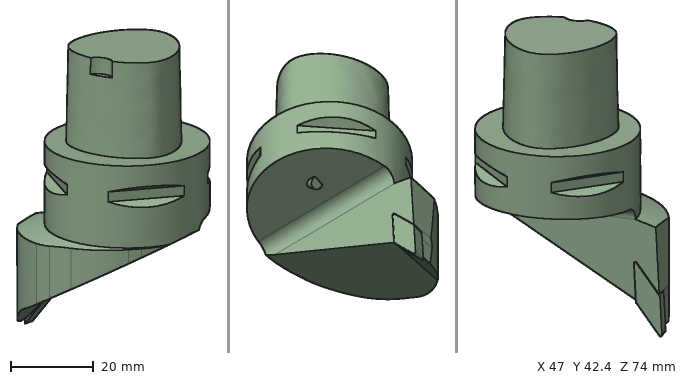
import cadquery as cq
import math


shank_height = 24.05
shank_base_radius = 14.0
shank_top_radius = 13.5
lobe_height = 0.8
lobe_count = 3
lobe_points = 36

notch_radius = 3.85
notch_center_y = -14.8
notch_depth = 4.15

flange_radius = 40.0 / 2
flange_height = 20.8

groove_count = 4
groove_z = -8.0
groove_floor_distance = 17.6
groove_floor_height = 2.5
groove_flare_angle = 30

arm_face_y = -0.2
arm_shoulder_angle = 15
arm_bottom_z = -48.2
arm_flank_angle = 3
arm_flank_x = -25.3
arm_flank_z = -22.2
slope_right_z = -19.4
slope_left_x = -20.1
slope_left_z = -41.5
reach = 59.2

clearance_outer_z = -16.0
clearance_inner_z = -17.3
clearance_fillet = 3.5

nozzle_diameter = 3.3
nozzle_x = -3.7
nozzle_y = 9.2
nozzle_end_z = -17.3
nozzle_length = 4.45
nozzle_tilt = 45

insert_face_y = 0.1
insert_thickness = 3.3
insert_side = 11.1
insert_angle = 35
insert_relief = 5
insert_nose_radius = 0.4
tip_x = -27.0
tip_z = -49.95

relief_depth = 0.4
relief_start_z = -39.0
relief_full_z = -41.45


def flank_x(z):
    return arm_flank_x - (arm_flank_z - z) * math.tan(math.radians(arm_flank_angle))


def lobed_wire(radius, z):
    """Closed curve of constant width with three lobes, one toward +Y."""
    points = []
    for i in range(lobe_points):
        angle = 2 * math.pi * i / lobe_points
        phase = lobe_count * (angle - math.pi / 2)
        support = radius + lobe_height * math.cos(phase)
        slope = -lobe_count * lobe_height * math.sin(phase)
        x = support * math.cos(angle) - slope * math.sin(angle)
        y = support * math.sin(angle) + slope * math.cos(angle)
        points.append(cq.Vector(x, y, z))
    return cq.Wire.assembleEdges([cq.Edge.makeSpline(points, periodic=True)])


def make_shank():
    base = lobed_wire(shank_base_radius, 0)
    top = lobed_wire(shank_top_radius, shank_height)
    shank = cq.Workplane(cq.Solid.makeLoft([base, top], True))
    notch = (
        cq.Workplane("XY", origin=(0, notch_center_y, shank_height - notch_depth))
        .circle(notch_radius)
        .extrude(notch_depth)
    )
    return shank.cut(notch)


def make_groove(angle):
    """Flat-floored groove with flared sides, facing the given direction."""
    depth = flange_radius - groove_floor_distance
    floor_half = groove_floor_height / 2
    mouth_half = floor_half + depth * math.tan(math.radians(groove_flare_angle))
    return (
        cq.Workplane("XZ")
        .moveTo(groove_floor_distance, groove_z - floor_half)
        .lineTo(flange_radius, groove_z - mouth_half)
        .lineTo(flange_radius, groove_z + mouth_half)
        .lineTo(groove_floor_distance, groove_z + floor_half)
        .close()
        .extrude(flange_radius, both=True)
        .rotate((0, 0, 0), (0, 0, 1), angle)
    )


def make_flange():
    flange = cq.Workplane("XY").circle(flange_radius).extrude(-flange_height)
    for i in range(groove_count):
        flange = flange.cut(make_groove((i + 0.5) * 360 / groove_count))
    return flange


def make_arm():
    """Curved wall below the flange, topped by a conical shoulder."""
    wall = (
        cq.Workplane("XY", origin=(0, 0, arm_bottom_z))
        .moveTo(-28.1, arm_face_y)
        .lineTo(-27.0, -3.1)
        .threePointArc((-20.6, -16.2), (-13.0, -21.45))
        .threePointArc((-11.0, -22.1), (-8.9, -22.4))
        .lineTo(-2.9, -22.4)
        .threePointArc((4.7, -21.0), (10.6, -17.8))
        .lineTo(13.0, -15.8)
        .threePointArc((15.25, -13.55), (17.7, -9.3))
        .lineTo(17.7, arm_face_y)
        .close()
        .extrude(-arm_bottom_z)
    )
    shoulder_drop = (reach - flange_radius) * math.tan(math.radians(arm_shoulder_angle))
    below_shoulder = (
        cq.Workplane("XZ")
        .moveTo(0, -flange_height)
        .lineTo(flange_radius, -flange_height)
        .lineTo(reach, -flange_height - shoulder_drop)
        .lineTo(reach, -reach)
        .lineTo(0, -reach)
        .close()
        .revolve(360, (0, 0, 0), (0, 1, 0))
    )
    return wall.intersect(below_shoulder)


def make_side_envelope():
    """Side outline of flange and arm: left flank and slanted undersides."""
    return (
        cq.Workplane("XZ")
        .moveTo(flank_x(0), 0)
        .lineTo(flank_x(arm_bottom_z), arm_bottom_z)
        .lineTo(flank_x(arm_bottom_z) + relief_depth, arm_bottom_z)
        .lineTo(slope_left_x, slope_left_z)
        .lineTo(flange_radius, slope_right_z)
        .lineTo(flange_radius, 0)
        .close()
        .extrude(reach, both=True)
    )


def make_clearance():
    """Space behind the rake face and under the rear half of the flange."""
    fillet_y = arm_face_y + clearance_fillet
    fillet_z = clearance_inner_z - clearance_fillet
    diagonal = clearance_fillet * math.sqrt(0.5)
    return (
        cq.Workplane("YZ")
        .moveTo(flange_radius, clearance_outer_z)
        .lineTo(fillet_y, clearance_inner_z)
        .threePointArc((fillet_y - diagonal, fillet_z + diagonal), (arm_face_y, fillet_z))
        .lineTo(arm_face_y, -reach)
        .lineTo(flange_radius, -reach)
        .close()
        .extrude(reach, both=True)
    )


def make_flank_relief():
    """Shallow step in the left flank, running out in a concave arc."""
    middle_z = (relief_start_z + relief_full_z) / 2
    return (
        cq.Workplane("XZ")
        .moveTo(flank_x(relief_start_z), relief_start_z)
        .threePointArc(
            (flank_x(middle_z) + 0.75 * relief_depth, middle_z),
            (flank_x(relief_full_z) + relief_depth, relief_full_z),
        )
        .lineTo(flank_x(-reach) + relief_depth, -reach)
        .lineTo(-reach, -reach)
        .lineTo(-reach, relief_start_z)
        .close()
        .extrude(reach, both=True)
    )


def make_nozzle():
    tilt = math.radians(nozzle_tilt)
    inward = cq.Vector(math.cos(tilt), 0, math.sin(tilt))
    end_center = cq.Vector(nozzle_x, nozzle_y, nozzle_end_z)
    return cq.Workplane(cq.Solid.makeCylinder(nozzle_diameter / 2, nozzle_length, end_center, inward))


def make_insert():
    """Rhombic plate whose side faces lean inward away from the rake face."""
    first = math.radians(arm_flank_angle)
    second = math.radians(arm_flank_angle + insert_angle)
    nose_x = tip_x + insert_nose_radius
    nose_z = tip_z + insert_nose_radius
    side = insert_side - 2 * insert_nose_radius / math.sin(math.radians(insert_angle))
    first_x = side * math.sin(first)
    first_z = side * math.cos(first)
    second_x = side * math.sin(second)
    second_z = side * math.cos(second)
    return (
        cq.Workplane("XZ", origin=(0, insert_face_y, 0))
        .moveTo(nose_x, nose_z)
        .lineTo(nose_x + first_x, nose_z + first_z)
        .lineTo(nose_x + first_x + second_x, nose_z + first_z + second_z)
        .lineTo(nose_x + second_x, nose_z + second_z)
        .close()
        .offset2D(insert_nose_radius)
        .extrude(insert_thickness, taper=insert_relief)
    )


insert = make_insert()

holder = make_flange().union(make_arm()).intersect(make_side_envelope())
holder = holder.cut(make_clearance()).cut(make_flank_relief())
holder = holder.union(make_shank()).union(make_nozzle()).cut(insert)

result = cq.Compound.makeCompound([holder.solids().val(), insert.solids().val()])